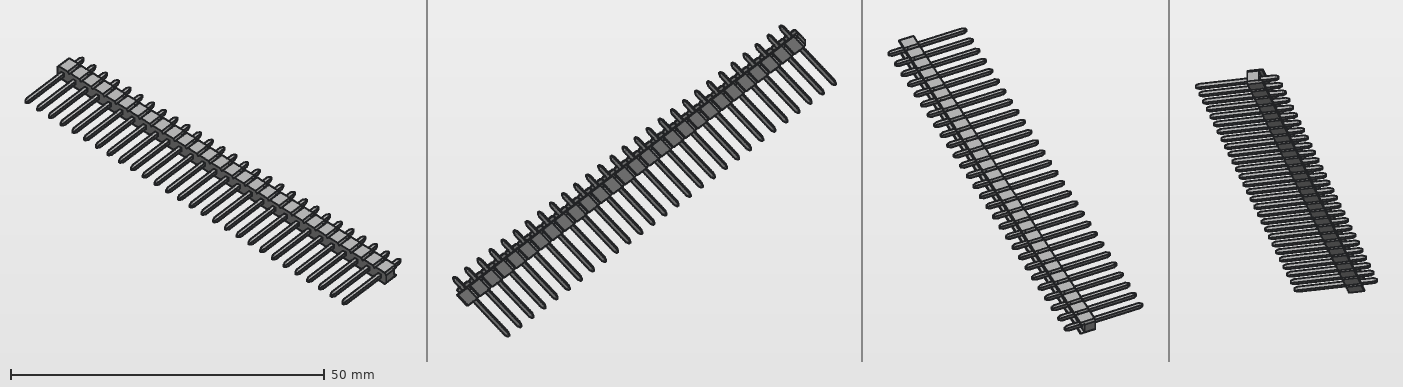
import cadquery as cq

length = 71.1
pin_count = 28
pitch = length / pin_count

body_depth = 2.5
body_height = 2.5
chamfer_run = 0.3
chamfer_rise = 0.4

channel_depth = 0.605
lip_thickness = 0.35

pin_width = 0.65
pin_offset_x = -0.1
front_reach = 8.75
rear_reach = 2.35
tip_length = 0.53
tip_width = 0.32


def strip():
    """Plastic strip with a V notch above and below between neighbouring cells."""
    half_height = body_height / 2
    notch_z = half_height - chamfer_rise
    upper_edge = [(-length / 2, notch_z)]
    for index in range(pin_count):
        cell_left = index * pitch - length / 2
        cell_right = cell_left + pitch
        upper_edge.append((cell_left + chamfer_run, half_height))
        upper_edge.append((cell_right - chamfer_run, half_height))
        upper_edge.append((cell_right, notch_z))
    lower_edge = [(x, -z) for x, z in reversed(upper_edge)]
    return cq.Workplane("XZ").polyline(upper_edge + lower_edge).close().extrude(-body_depth)


def rear_channel():
    """Cutter for the groove that runs the whole length of the rear face."""
    channel_height = body_height - 2 * lip_thickness
    cutter = cq.Workplane("XY").box(length, channel_depth, channel_height)
    return cutter.translate((0, body_depth - channel_depth / 2, 0))


def pin_tip(base_y, direction):
    """Tapered end of a pin; direction is +1 towards the rear, -1 towards the front."""
    base = cq.Workplane("XZ", origin=(0, base_y, 0)).rect(pin_width, pin_width)
    end = base.workplane(offset=-direction * tip_length).rect(tip_width, tip_width)
    return end.loft(ruled=True)


def pin():
    """A straight square pin at X = 0, long enough to pass through the strip."""
    shank_front = tip_length - front_reach
    shank_rear = body_depth + rear_reach - tip_length
    shank = cq.Workplane("XY").box(pin_width, shank_rear - shank_front, pin_width)
    shank = shank.translate((0, (shank_front + shank_rear) / 2, 0))
    return shank.union(pin_tip(shank_front, -1)).union(pin_tip(shank_rear, 1))


def pin_row():
    """All the pins, one per cell of the strip."""
    first_x = (pitch - length) / 2 + pin_offset_x
    positions = [(first_x + index * pitch, 0) for index in range(pin_count)]
    single_pin = pin().val()
    return cq.Workplane("XY").pushPoints(positions).eachpoint(lambda place: single_pin.moved(place))


result = strip().cut(rear_channel()).union(pin_row())